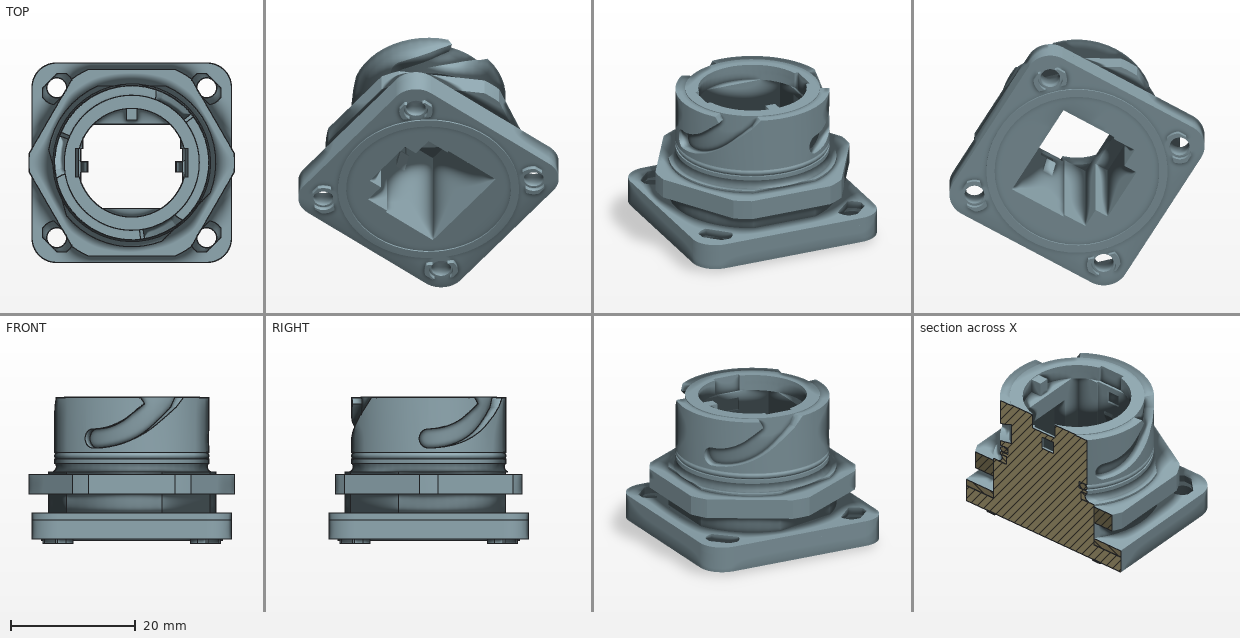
import cadquery as cq
import math

FLANGE_BOTTOM = 0.73
PLATE_BOTTOM = 3.75
PLATE_TOP = 4.95
NUT_BOTTOM = 7.95
NUT_TOP = 11.1
THREAD_TOP = 11.5
SEAL_TOP = 12.85
ORING_BOTTOM = 13.52
ORING_TOP = 14.6
SLEEVE_TOP = 23.38
RIM_TOP = 23.5
LEDGE_LEVEL = 20.95

FLANGE_SIDE = 32.0
FLANGE_CORNER_RADIUS = 3.95
SCREW_PITCH = 24.0
SCREW_HOLE_RADIUS = 1.58
LOBE_RADIUS = 2.75
LOBE_HALF_WIDTH = 1.58
LOBE_EDGE_REACH = 2.3
FOOT_CLEARANCE = 0.05
FOOT_BORE_RADIUS = 1.95

SHANK_RADIUS = 13.45
SHANK_FLAT_DISTANCE = 12.3
SHANK_FLAT_ANGLES = (90, 195, 315)
NUT_ACROSS_FLATS = 29.95
NUT_CORNER_RADIUS = 16.5

SLEEVE_RADIUS = 12.37
RIM_RADIUS = 10.82
SEAL_SEAT_RADIUS = 11.55
SEAL_TOP_RADIUS = 12.27
SEAL_WAIST_RADIUS = 12.1
SEAL_WAIST_LEVEL = 12.35
SEAL_LIP_RADIUS = 12.63
ORING_SECTION_RADIUS = (ORING_TOP - ORING_BOTTOM) / 2
ORING_GROOVE_RADIUS = SLEEVE_RADIUS - 2 * ORING_SECTION_RADIUS

SLOT_COUNT = 3
SLOT_HALF_WIDTH = 1.535
SLOT_END_LEVEL = 16.85
SLOT_LOWER_BEND_RADIUS = 16.5
SLOT_UPPER_BEND_RADIUS = 9.9
SLOT_RISE_ANGLE = 38.0
SLOT_TIP_ANGLE = 39.6
SLOT_TIP_TOP_ANGLE = 36.6
SLOT_FLANK_ANGLE = 65.0
SLOT_FLANK_LIFT = 0.23
SLOT_MOUTH_ANGLE = 74.5
SLOT_STEPS = 12
SLOT_TOOL_INNER_RADIUS = RIM_RADIUS - 0.65
SLOT_TOOL_OUTER_RADIUS = SLEEVE_RADIUS + 0.65
SLOT_TOOL_TOP = RIM_TOP + 3.3

BORE_RADIUS = 8.7
KEY_WIDTH = 1.7
KEY_INNER_Y = 6.83
CAVITY_BACK_Y = 6.15
CAVITY_FRONT_Y = -7.3
CAVITY_BACK_HALF_WIDTH = 7.8
CAVITY_HALF_WIDTH = 8.15
BACK_POCKET_HALF_WIDTH = 4.55
BACK_POCKET_Y = 8.38
BACK_POCKET_TOP = 17.68
LATCH_HALF_LENGTH = 2.28
LATCH_ARM_OUTER_X = 8.5
LATCH_SLOT_OUTER_X = 9.05
LATCH_SLOT_BOTTOM = 14.85
WINDOW_Y = (-1.95, 0.33)
WINDOW_Z = (17.85, 19.92)
HOOK_Y = (-1.5, 0.15)
HOOK_TIP_X = 7.0
HOOK_NOSE_X = 7.2
HOOK_ROOT_TOP = 15.0
HOOK_NOSE_TOP = 16.65
HOOK_TIP_LEVEL = 16.15
HOOK_ROOT_BOTTOM = 13.52

GASKET_OUTER_RADIUS = 14.5
GASKET_INNER_RADIUS = 13.2
GASKET_BOTTOM = 0.5

OVERCUT = 0.33


def cylinder(radius, bottom, top):
    return cq.Workplane("XY").workplane(offset=bottom).circle(radius).extrude(top - bottom)


def block(x_range, y_range, z_range):
    size = [high - low for low, high in (x_range, y_range, z_range)]
    corner = (x_range[0], y_range[0], z_range[0])
    return cq.Workplane("XY").box(*size, centered=False).translate(corner)


def square_slab(bottom, top):
    slab = cq.Workplane("XY").workplane(offset=bottom).rect(FLANGE_SIDE, FLANGE_SIDE).extrude(top - bottom)
    return slab.edges("|Z").fillet(FLANGE_CORNER_RADIUS)


def at_screw_corners(shape):
    """Copies of a shape made for the +X +Y corner, turned to all four corners."""
    placed = shape.translate((SCREW_PITCH / 2, SCREW_PITCH / 2, 0))
    return [placed.rotate((0, 0, 0), (0, 0, 1), 90 * i) for i in range(4)]


def corner_lobe(bottom, top, clearance):
    """Round lobe with two flats across the diagonal, cut short towards the flange sides."""
    radius = LOBE_RADIUS - clearance
    half_width = LOBE_HALF_WIDTH - clearance
    reach = LOBE_EDGE_REACH - clearance
    diagonal_bar = block((-half_width, half_width), (-radius, radius), (bottom, top))
    diagonal_bar = diagonal_bar.rotate((0, 0, 0), (0, 0, 1), 45)
    edge_limit = block((-2 * radius, reach), (-2 * radius, reach), (bottom, top))
    return cylinder(radius, bottom, top).intersect(diagonal_bar).intersect(edge_limit)


def shank(bottom, top):
    """Round shank with flats at uneven angles."""
    body = cylinder(SHANK_RADIUS, bottom, top)
    for angle in SHANK_FLAT_ANGLES:
        cutter = block((SHANK_FLAT_DISTANCE, 2 * SHANK_RADIUS), (-SHANK_RADIUS, SHANK_RADIUS), (bottom, top))
        body = body.cut(cutter.rotate((0, 0, 0), (0, 0, 1), angle))
    return body


def slot_edge_level(angle, start_level, bend_radius):
    """Level of a slot edge on the unrolled sleeve: an arc that starts level, then a straight rise."""
    along = SLEEVE_RADIUS * math.radians(angle)
    rise = math.radians(SLOT_RISE_ANGLE)
    arc_end = bend_radius * math.sin(rise)
    arc_rise = bend_radius - math.sqrt(bend_radius**2 - min(along, arc_end) ** 2)
    straight_rise = max(along - arc_end, 0) * math.tan(rise)
    return start_level + arc_rise + straight_rise


def slot_band(start, end, low_level, high_level, inner_low_level=None):
    """Solid over a range of angles, from inside the rim core to outside the sleeve.

    Its bottom and top follow level functions; the inner bottom edge may follow its own.
    """

    def edge(radius, level):
        points = []
        for i in range(SLOT_STEPS + 1):
            angle = start + (end - start) * i / SLOT_STEPS
            turn = math.radians(angle)
            points.append(cq.Vector(radius * math.cos(turn), radius * math.sin(turn), level(angle)))
        return cq.Edge.makeSpline(points)

    rails = [
        edge(SLOT_TOOL_INNER_RADIUS, inner_low_level or low_level),
        edge(SLOT_TOOL_OUTER_RADIUS, low_level),
        edge(SLOT_TOOL_OUTER_RADIUS, high_level),
        edge(SLOT_TOOL_INNER_RADIUS, high_level),
    ]
    faces = [cq.Face.makeRuledSurface(rails[i - 1], rails[i]) for i in range(4)]
    for position in (0, 1):
        corners = [rail.positionAt(position) for rail in rails]
        faces.append(cq.Face.makeFromWires(cq.Wire.makePolygon(corners, close=True)))
    solid = cq.Solid.makeSolid(cq.Shell.makeShell(faces))
    return cq.Workplane(solid.fix())


def bayonet_slot():
    """Curved slot: a round closed end, a rising channel and an open mouth at the top."""

    def lower(angle):
        return slot_edge_level(angle, SLOT_END_LEVEL - SLOT_HALF_WIDTH, SLOT_LOWER_BEND_RADIUS)

    def lower_inner(angle):
        return lower(angle) + SLOT_FLANK_LIFT * (angle - SLOT_FLANK_ANGLE)

    def upper(angle):
        return slot_edge_level(angle, SLOT_END_LEVEL + SLOT_HALF_WIDTH, SLOT_UPPER_BEND_RADIUS)

    def above(angle):
        return SLOT_TOOL_TOP

    tip_level = upper(SLOT_TIP_ANGLE)

    def tip_flank(angle):
        share = (SLOT_TIP_ANGLE - angle) / (SLOT_TIP_ANGLE - SLOT_TIP_TOP_ANGLE)
        return tip_level + share * (SLEEVE_TOP - tip_level)

    end_pin = cq.Workplane("YZ").workplane(offset=SLOT_TOOL_INNER_RADIUS).center(0, SLOT_END_LEVEL)
    end_pin = end_pin.circle(SLOT_HALF_WIDTH).extrude(SLOT_TOOL_OUTER_RADIUS - SLOT_TOOL_INNER_RADIUS)
    slot = end_pin.union(slot_band(0, SLOT_TIP_ANGLE, lower, upper))
    slot = slot.union(slot_band(SLOT_TIP_ANGLE, SLOT_FLANK_ANGLE, lower, above))
    slot = slot.union(slot_band(SLOT_FLANK_ANGLE, SLOT_MOUTH_ANGLE, lower, above, lower_inner))
    return slot.union(slot_band(SLOT_TIP_TOP_ANGLE, SLOT_TIP_ANGLE, tip_flank, above))


def sleeve():
    """Sleeve above the shank, with a seal seat, an O-ring groove and bayonet slots down to the rim core."""
    outline = [
        (0, THREAD_TOP),
        (SEAL_SEAT_RADIUS, THREAD_TOP),
        (SEAL_SEAT_RADIUS, SEAL_TOP),
        (SLEEVE_RADIUS, SEAL_TOP),
        (SLEEVE_RADIUS, ORING_BOTTOM),
        (ORING_GROOVE_RADIUS, ORING_BOTTOM),
        (ORING_GROOVE_RADIUS, ORING_TOP),
        (SLEEVE_RADIUS, ORING_TOP),
        (SLEEVE_RADIUS, SLEEVE_TOP),
        (0, SLEEVE_TOP),
    ]
    body = cq.Workplane("XZ").polyline(outline).close().revolve(360, (0, 0, 0), (0, 1, 0))
    slot = bayonet_slot()
    for i in range(SLOT_COUNT):
        body = body.cut(slot.rotate((0, 0, 0), (0, 0, 1), 360 * i / SLOT_COUNT))
    return body.union(cylinder(RIM_RADIUS, THREAD_TOP, RIM_TOP))


def cavity():
    """Round bore at the top, opening into a stepped rectangular passage with a pocket in its back wall."""
    depth = (-OVERCUT, LEDGE_LEVEL)
    back_width = (-CAVITY_BACK_HALF_WIDTH, CAVITY_BACK_HALF_WIDTH)
    front_width = (-CAVITY_HALF_WIDTH, CAVITY_HALF_WIDTH)
    pocket_width = (-BACK_POCKET_HALF_WIDTH, BACK_POCKET_HALF_WIDTH)
    space = cylinder(BORE_RADIUS, LEDGE_LEVEL, RIM_TOP + OVERCUT)
    space = space.union(block(back_width, (CAVITY_FRONT_Y, CAVITY_BACK_Y), depth))
    space = space.union(block(front_width, (CAVITY_FRONT_Y, LATCH_HALF_LENGTH), depth))
    return space.union(block(pocket_width, (0, BACK_POCKET_Y), (-OVERCUT, BACK_POCKET_TOP)))


def key():
    """Block on the bore wall that stands on the ledge."""
    return block((-KEY_WIDTH / 2, KEY_WIDTH / 2), (KEY_INNER_Y, BORE_RADIUS), (LEDGE_LEVEL, SLEEVE_TOP))


def latch_space():
    """Notch in the +X bore wall, the narrow slot behind the latch arm and the window through the arm."""
    length = (-LATCH_HALF_LENGTH, LATCH_HALF_LENGTH)
    notch = block((0, LATCH_SLOT_OUTER_X), length, (LEDGE_LEVEL, RIM_TOP + OVERCUT))
    slot = block((LATCH_ARM_OUTER_X, LATCH_SLOT_OUTER_X), length, (LATCH_SLOT_BOTTOM, LEDGE_LEVEL))
    window = block((0, LATCH_ARM_OUTER_X), WINDOW_Y, WINDOW_Z)
    return notch.union(slot).union(window)


def latch_hook():
    """Barb that leans inwards and up from the +X latch arm."""
    outline = [
        (CAVITY_HALF_WIDTH, HOOK_ROOT_TOP),
        (HOOK_NOSE_X, HOOK_NOSE_TOP),
        (HOOK_TIP_X, HOOK_TIP_LEVEL),
        (CAVITY_HALF_WIDTH, HOOK_ROOT_BOTTOM),
    ]
    hook = cq.Workplane("XZ").polyline(outline).close().extrude(HOOK_Y[1] - HOOK_Y[0])
    return hook.translate((0, HOOK_Y[1], 0))


def make_housing():
    body = square_slab(FLANGE_BOTTOM, PLATE_BOTTOM)
    for foot in at_screw_corners(corner_lobe(0, FLANGE_BOTTOM, FOOT_CLEARANCE)):
        body = body.union(foot)
    body = body.union(cylinder(SHANK_RADIUS, PLATE_BOTTOM, PLATE_TOP))
    body = body.union(shank(PLATE_TOP, THREAD_TOP)).union(sleeve())
    screw_hole = cylinder(SCREW_HOLE_RADIUS, 0, PLATE_TOP)
    screw_hole = screw_hole.union(cylinder(FOOT_BORE_RADIUS, 0, FLANGE_BOTTOM))
    for hole in at_screw_corners(screw_hole):
        body = body.cut(hole)
    right_latch = latch_space()
    body = body.cut(cavity())
    body = body.cut(right_latch)
    body = body.cut(right_latch.mirror("YZ"))
    right_hook = latch_hook()
    return body.union(key()).union(right_hook).union(right_hook.mirror("YZ"))


def make_cover_plate():
    plate = square_slab(PLATE_BOTTOM, PLATE_TOP).cut(cylinder(SHANK_RADIUS, PLATE_BOTTOM, PLATE_TOP))
    for lobe in at_screw_corners(corner_lobe(PLATE_BOTTOM, PLATE_TOP, 0)):
        plate = plate.cut(lobe)
    return plate


def make_nut():
    """Hexagon with turned-off corners; its bore follows the shank and its flats."""
    hexagon = cq.Workplane("XY").workplane(offset=NUT_BOTTOM)
    hexagon = hexagon.polygon(6, NUT_ACROSS_FLATS, circumscribed=True).extrude(NUT_TOP - NUT_BOTTOM)
    hexagon = hexagon.rotate((0, 0, 0), (0, 0, 1), 30)
    rounded = hexagon.intersect(cylinder(NUT_CORNER_RADIUS, NUT_BOTTOM, NUT_TOP))
    return rounded.cut(shank(NUT_BOTTOM, NUT_TOP))


def make_lip_seal():
    """Seal at the foot of the sleeve with a hollow outer face that flares into a lip."""
    profile = cq.Workplane("XZ").moveTo(SEAL_SEAT_RADIUS, THREAD_TOP).lineTo(SEAL_LIP_RADIUS, THREAD_TOP)
    profile = profile.threePointArc((SEAL_WAIST_RADIUS, SEAL_WAIST_LEVEL), (SEAL_TOP_RADIUS, SEAL_TOP))
    return profile.lineTo(SEAL_SEAT_RADIUS, SEAL_TOP).close().revolve(360, (0, 0, 0), (0, 1, 0))


def make_oring():
    centre_radius = ORING_GROOVE_RADIUS + ORING_SECTION_RADIUS
    return cq.Solid.makeTorus(
        centre_radius, ORING_SECTION_RADIUS, cq.Vector(0, 0, (ORING_BOTTOM + ORING_TOP) / 2)
    )


def make_flange_gasket():
    return cylinder(GASKET_OUTER_RADIUS, GASKET_BOTTOM, FLANGE_BOTTOM).cut(
        cylinder(GASKET_INNER_RADIUS, GASKET_BOTTOM, FLANGE_BOTTOM)
    )


housing = make_housing()
cover_plate = make_cover_plate()
nut = make_nut()
lip_seal = make_lip_seal()
oring = make_oring()
flange_gasket = make_flange_gasket()

result = cq.Compound.makeCompound(
    [housing.val(), cover_plate.val(), nut.val(), lip_seal.val(), oring, flange_gasket.val()]
)